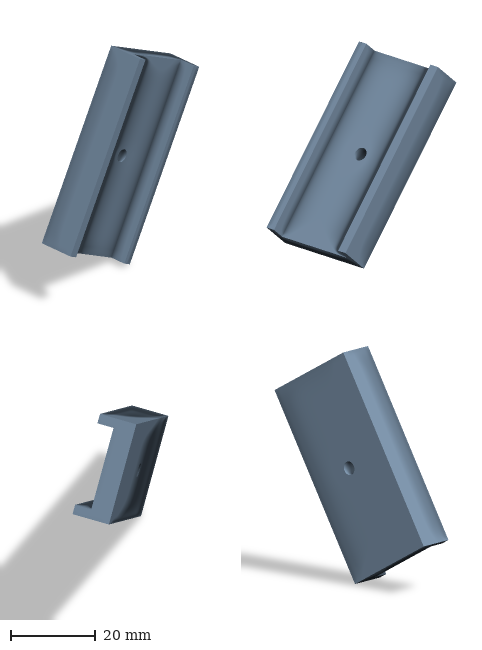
import cadquery as cq
import math

overall_height = 55.6
tilt_angle = 30.0

thickness = 9.0
width = 24.65
tilt_radians = math.radians(tilt_angle)
length = (overall_height - width * math.sin(tilt_radians)) / math.cos(tilt_radians)

channel_width = 20.0
channel_depth = 4.0

hole_diameter = 3.3

block = cq.Workplane("XY").box(thickness, width, length)

channel_center_x = (thickness - channel_depth) / 2
channel = (
    cq.Workplane("XY")
    .box(channel_depth, channel_width, length)
    .translate((channel_center_x, 0, 0))
)

hole = cq.Workplane("YZ").circle(hole_diameter / 2).extrude(thickness / 2, both=True)

upright_part = block.cut(channel).cut(hole)
result = upright_part.rotate((0, 0, 0), (1, 0, 0), -tilt_angle)